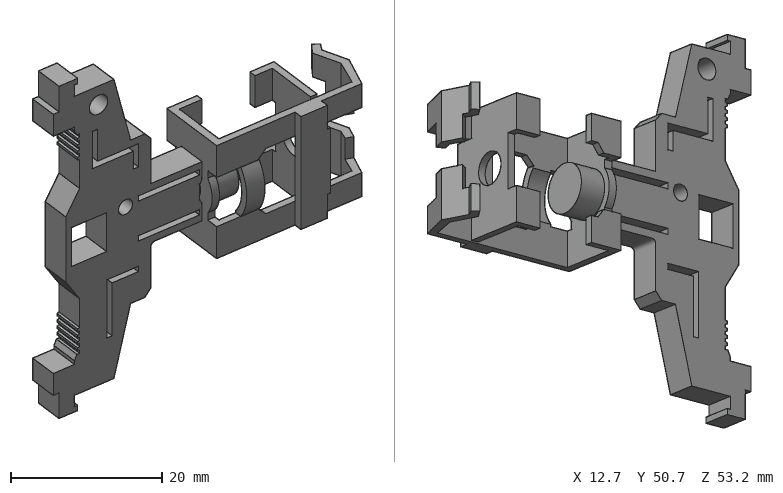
import cadquery as cq


plate_thickness = 4.5
neck_half_height = 4.75
neck_fillet = 0.65
body_back = -8.45
body_base = -20.25
foot_back = -21.1

slot_width = 0.85
slot_near = -10.55
neck_slot_start = -0.4
neck_slot_z = 3.2
upper_slot_far = -18.15
upper_slot_z = 11.95
upper_slot_bottom = 8.25
upper_slot_top = 17.05
lower_slot_far = -15.75
lower_slot_z = -7.65
lower_slot_bottom = -16.95

tooth_count = 4
tooth_pitch = 1.0
tooth_first = 13.7
tooth_height = 0.3
tooth_root = 0.65
tooth_tip = 0.35

large_hole_diameter = 3.05
large_hole_y = -17.1
large_hole_z = 20.95
small_hole_diameter = 2.35
small_hole_y = -12.65
small_hole_z = 2.7
window_near = -15.8
window_far = -21.6
window_height = 6.2

clip_half_height = 9.05
clip_width = 10.9
clip_half_width = clip_width / 2
sheet = 1.1
side_inner = clip_half_width - sheet
front_wall = 1.2
lip_length = 5.0
opening_half = 5.2
throat_half = 3.95
throat_end = 6.85
disc_radius = 4.45
wall_notch_x = 3.5
boss_radius = 3.5
boss_end = 5.15
arch_radius = 6.75
arch_start = 4.0
arch_end = 7.0

core_radius = 1.95
relief_depth = 0.4
relief_outer = 3.0
relief_inner = 2.5

wall_back = 17.85
wall_left = -5.65
wall_half_width = 3.85
wall_lip_start = 13.9
wall_hole_radius = 2.35
strap_start = 13.0
strap_end = 17.35

arm_start = 21.25
arm_peak = 26.05
arm_tab_half = 1.85


def box(x0, x1, y0, y1, z0, z1):
    return cq.Workplane("XY").box(x1 - x0, y1 - y0, z1 - z0, centered=False).translate((x0, y0, z0))


def side_prism(points, x0, x1):
    """Closed (Y, Z) outline extruded from x0 to x1."""
    return cq.Workplane("YZ", origin=(x0, 0, 0)).polyline(points).close().extrude(x1 - x0)


def flat_prism(points, half_height):
    """Closed (X, Y) outline extruded evenly above and below the middle plane."""
    return cq.Workplane("XY").polyline(points).close().extrude(half_height, both=True)


def cylinder_y(radius, y0, y1):
    return cq.Workplane("XZ", origin=(0, y0, 0)).circle(radius).extrude(y0 - y1)


def cone_y(radius0, radius1, y0, y1):
    profile = [(0, y0), (radius0, y0), (radius1, y1), (0, y1)]
    return cq.Workplane("XY").polyline(profile).close().revolve(360, (0, 0), (0, 1))


def mirrored(points):
    """Outline running up from the middle plane, closed by its mirror image."""
    return points + [(y, -z) for y, z in reversed(points)]


def plate_outline():
    upper = [
        (0, neck_half_height),
        (body_back, neck_half_height),
        (body_back, 11.95),
        (-9.45, 13.1),
        (-11.8, 13.1),
        (-14.55, 23.9),
        (foot_back, 23.9),
        (foot_back, 25.75),
        (-20.6, 25.75),
        (-20.6, 26.6),
        (-23.65, 26.6),
        (-23.65, 22.5),
        (-24.6, 22.5),
        (-24.6, 19.0),
        (foot_back, 19.0),
        (foot_back, 18.4),
        (-20.7, 17.55),
        (body_base, 17.55),
    ]
    for i in reversed(range(tooth_count)):
        z = tooth_first + i * tooth_pitch
        tip = body_base - tooth_height
        upper += [
            (body_base, z + tooth_root / 2),
            (tip, z + tooth_tip / 2),
            (tip, z - tooth_tip / 2),
            (body_base, z - tooth_root / 2),
        ]
    upper += [(body_base, 8.8), (-22.55, opening_half)]
    return mirrored(upper)


def plate_cut(y0, y1, z0, z1):
    return box(-plate_thickness / 2, plate_thickness / 2, y0, y1, z0, z1)


def plate_hole(y, z, diameter):
    hole = cq.Workplane("YZ").center(y, z).circle(diameter / 2)
    return hole.extrude(plate_thickness / 2, both=True)


def make_plate():
    plate = side_prism(plate_outline(), -plate_thickness / 2, plate_thickness / 2)
    lower_corner = cq.selectors.NearestToPointSelector((0, body_back, -neck_half_height))
    plate = plate.edges("|X").edges(lower_corner).fillet(neck_fillet)

    plate = plate.cut(plate_hole(large_hole_y, large_hole_z, large_hole_diameter))
    plate = plate.cut(plate_hole(small_hole_y, small_hole_z, small_hole_diameter))
    plate = plate.cut(plate_cut(window_far, window_near, -window_height / 2, window_height / 2))

    half_slot = slot_width / 2
    for z in (-neck_slot_z, neck_slot_z):
        plate = plate.cut(plate_cut(slot_near, neck_slot_start, z - half_slot, z + half_slot))

    bar_bottom = upper_slot_z - slot_width
    far_arm_edge = upper_slot_far + slot_width
    plate = plate.cut(plate_cut(upper_slot_far, slot_near, bar_bottom, upper_slot_z))
    plate = plate.cut(plate_cut(slot_near - slot_width, slot_near, upper_slot_bottom, upper_slot_z))
    plate = plate.cut(plate_cut(upper_slot_far, far_arm_edge, bar_bottom, upper_slot_top))

    bar_bottom = lower_slot_z - slot_width
    far_arm_edge = lower_slot_far + slot_width
    plate = plate.cut(plate_cut(lower_slot_far, slot_near, bar_bottom, lower_slot_z))
    plate = plate.cut(plate_cut(lower_slot_far, far_arm_edge, lower_slot_bottom, lower_slot_z))

    relief = cone_y(relief_inner, relief_outer, -relief_depth, 0)
    return plate.cut(relief.cut(cylinder_y(core_radius, -relief_depth, 0)))


def make_bent_sheet():
    """Lip, front wall, side plate and bent spring arm, with their openings."""
    lip_left = -clip_half_width
    lip_inner = lip_left + sheet
    outline = [
        (lip_left, lip_length),
        (lip_left, 0),
        (clip_half_width, 0),
        (clip_half_width, 24.05),
        (0, arm_peak),
        (-4.0, 24.55),
        (-5.2, 25.25),
        (-5.9, 24.3),
        (-4.15, 23.15),
        (0, 24.65),
        (side_inner, 23.25),
        (side_inner, front_wall),
        (lip_inner, front_wall),
        (lip_inner, lip_length),
    ]
    bent_sheet = flat_prism(outline, clip_half_height)

    throat = [
        (0, throat_half),
        (throat_end, throat_half),
        (throat_end + opening_half - throat_half, opening_half),
        (arm_start, opening_half),
    ]
    bent_sheet = bent_sheet.cut(side_prism(mirrored(throat), wall_notch_x, clip_half_width))

    reach = 2 * clip_half_width
    arm_gap = box(-reach, reach, arm_start, arm_peak, -opening_half, opening_half)
    tab_zone = [(1.15, 22.85), (2.3, arm_peak), (-3.7, arm_peak), (-1.65, 22.85)]
    tabs = flat_prism(tab_zone, opening_half).cut(flat_prism(tab_zone, arm_tab_half))
    bent_sheet = bent_sheet.cut(arm_gap.cut(tabs))

    lip_opening = [
        (0, throat_half),
        (2.9, throat_half),
        (3.9, opening_half),
        (lip_length, opening_half),
    ]
    return bent_sheet.cut(side_prism(mirrored(lip_opening), lip_left, -wall_notch_x))


def make_boss():
    """Disc set in the front wall with a round boss behind it."""
    disc = cylinder_y(disc_radius, 0, front_wall)
    return disc.union(cylinder_y(boss_radius, front_wall, boss_end))


def make_side_arch():
    """Curved bridge over the side throat, concentric with the boss."""
    arch = cylinder_y(arch_radius, arch_start, arch_end)
    arch = arch.cut(cylinder_y(arch_radius - sheet, arch_start, arch_end))
    return arch.intersect(
        box(side_inner, arch_radius, arch_start, arch_end, -throat_half, throat_half)
    )


def make_middle_wall():
    """Hooked wall behind the boss, tied to the strap through the side opening."""
    wall_front = wall_back - sheet
    lip_inner = wall_left + sheet
    outline = [
        (wall_left, wall_lip_start),
        (lip_inner, wall_lip_start),
        (lip_inner, wall_front),
        (wall_half_width, wall_front),
        (wall_half_width, wall_back),
        (wall_left, wall_back),
    ]
    wall = flat_prism(outline, clip_half_height)
    edge_notch = box(
        wall_left, -wall_half_width, wall_lip_start, wall_back, -throat_half, throat_half
    )
    tie = box(
        wall_half_width, clip_half_width, wall_front, wall_back, -opening_half, opening_half
    )
    wall = wall.cut(edge_notch).union(tie)
    return wall.cut(cylinder_y(wall_hole_radius, wall_front, wall_back))


def make_strap():
    """Full-height strap on the outside of the side plate."""
    strap = box(
        clip_half_width, arch_radius, strap_start, strap_end, -clip_half_height, clip_half_height
    )
    wall_seat = box(
        clip_half_width, arch_radius, strap_end, wall_back, -opening_half, opening_half
    )
    return strap.union(wall_seat)


result = (
    make_bent_sheet()
    .union(make_boss())
    .union(make_side_arch())
    .union(make_strap())
    .union(make_middle_wall())
    .union(make_plate())
)